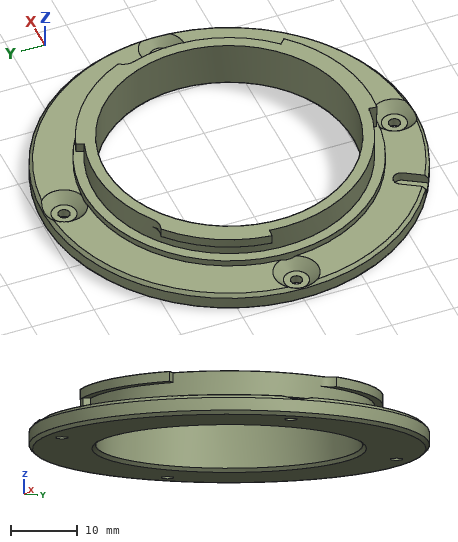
import cadquery as cq
import math

BORE_DIAMETER = 40.0
TUBE_DIAMETER = 43.55
LUG_DIAMETER = 46.1
STEP_DIAMETER = 46.8
FLANGE_DIAMETER = 60.0

FLANGE_TOP = 3.0
STEP_TOP = 4.0
TOTAL_HEIGHT = 8.0
FLANGE_CHAMFER = 0.55
BORE_CHAMFER = 0.55

LUG_HEIGHT = 1.5
LUG_BOTTOM = TOTAL_HEIGHT - LUG_HEIGHT
ROUNDED_START_LUGS = ((24.0, 72.5), (131.5, 174.0))
PLAIN_LUG = (264.0, 317.0)
LEAD_IN_RADIUS = 2.4
STOP_SWEEP = 3.6
STOP_DIAMETER = 45.95

SCREW_COUNT = 4
SCREW_CIRCLE_RADIUS = 26.7
SCREW_DIAMETER = 1.8
SEAT_DIAMETER = 3.9
SINK_DIAMETER = 7.1
SINK_DEPTH = (SINK_DIAMETER - SEAT_DIAMETER) / 2

SLOT_ANGLE = 239.0
SLOT_WIDTH = 2.5
SLOT_DEPTH = 1.5
SLOT_END_RADIUS = 26.1


def polar(radius, angle):
    radians = math.radians(angle)
    return (radius * math.cos(radians), radius * math.sin(radians))


def disc(diameter, bottom, top):
    return cq.Workplane("XY").workplane(offset=bottom).circle(diameter / 2).extrude(top - bottom)


def ring_sector(start, end, bottom, top, diameter=LUG_DIAMETER):
    """Sector from inside the tube wall out to the given diameter."""
    inner = (BORE_DIAMETER + TUBE_DIAMETER) / 4
    outer = diameter / 2
    middle = (start + end) / 2
    return (
        cq.Workplane("XY").workplane(offset=bottom)
        .moveTo(*polar(inner, start))
        .lineTo(*polar(outer, start))
        .threePointArc(polar(outer, middle), polar(outer, end))
        .lineTo(*polar(inner, end))
        .threePointArc(polar(inner, middle), polar(inner, start))
        .close()
        .extrude(top - bottom)
    )


def rounded_start_lug(start, end):
    """Lug whose first end is a concave arc tangent to the tube wall."""
    arc_center_radius = TUBE_DIAMETER / 2 + LEAD_IN_RADIUS
    outer = LUG_DIAMETER / 2
    cosine = (arc_center_radius**2 + outer**2 - LEAD_IN_RADIUS**2) / (2 * arc_center_radius * outer)
    center_angle = start - math.degrees(math.acos(cosine))
    lead_in = (
        cq.Workplane("XY").workplane(offset=LUG_BOTTOM)
        .center(*polar(arc_center_radius, center_angle))
        .circle(LEAD_IN_RADIUS)
        .extrude(LUG_HEIGHT)
    )
    return ring_sector(center_angle, end, LUG_BOTTOM, TOTAL_HEIGHT).cut(lead_in)


def screw_hole(angle):
    seat_height = FLANGE_TOP - SINK_DEPTH
    sink = (
        cq.Workplane("XY").workplane(offset=seat_height)
        .circle(SEAT_DIAMETER / 2)
        .workplane(offset=SINK_DEPTH)
        .circle(SINK_DIAMETER / 2)
        .loft()
    )
    hole = disc(SCREW_DIAMETER, 0, FLANGE_TOP).union(sink)
    return hole.translate((*polar(SCREW_CIRCLE_RADIUS, angle), 0))


def rim_slot():
    length = FLANGE_DIAMETER / 2 - SLOT_END_RADIUS + SLOT_WIDTH
    floor = cq.Workplane("XY").workplane(offset=FLANGE_TOP - SLOT_DEPTH)
    channel = (
        floor.center(SLOT_END_RADIUS, 0)
        .rect(length, SLOT_WIDTH, centered=(False, True))
        .extrude(SLOT_DEPTH)
    )
    rounded_end = floor.center(SLOT_END_RADIUS, 0).circle(SLOT_WIDTH / 2).extrude(SLOT_DEPTH)
    return channel.union(rounded_end).rotate((0, 0, 0), (0, 0, 1), SLOT_ANGLE)


flange = disc(FLANGE_DIAMETER, 0, FLANGE_TOP).edges().chamfer(FLANGE_CHAMFER)
for index in range(SCREW_COUNT):
    flange = flange.cut(screw_hole(index * 360 / SCREW_COUNT))
flange = flange.cut(rim_slot())

body = flange.union(disc(STEP_DIAMETER, 0, STEP_TOP))
body = body.union(disc(TUBE_DIAMETER, 0, TOTAL_HEIGHT))

for lug_start, lug_end in ROUNDED_START_LUGS:
    body = body.union(rounded_start_lug(lug_start, lug_end))
body = body.union(ring_sector(*PLAIN_LUG, LUG_BOTTOM, TOTAL_HEIGHT))
stop_end = PLAIN_LUG[0] + STOP_SWEEP
body = body.union(ring_sector(PLAIN_LUG[0], stop_end, STEP_TOP, LUG_BOTTOM, STOP_DIAMETER))

bore = disc(BORE_DIAMETER, 0, TOTAL_HEIGHT)
bore_flare = (
    cq.Workplane("XY")
    .circle(BORE_DIAMETER / 2 + BORE_CHAMFER)
    .workplane(offset=BORE_CHAMFER)
    .circle(BORE_DIAMETER / 2)
    .loft()
)
result = body.cut(bore).cut(bore_flare)